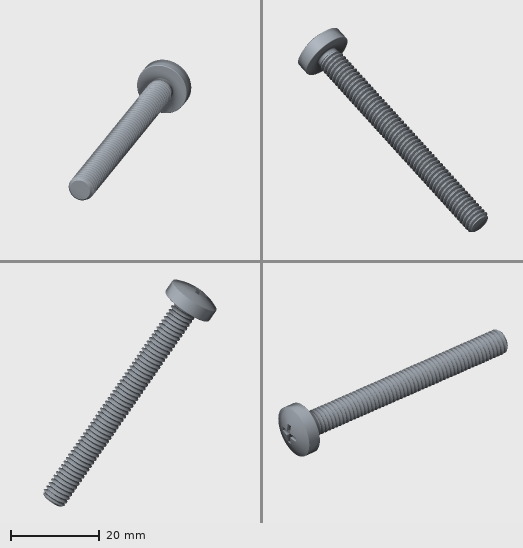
import cadquery as cq
import math


total_length = 59.55
head_height = 4.5
shank_length = total_length - head_height

head_radius = 12.0 / 2
dome_radius = 12.8
head_base_fillet = 0.2

recess_span = 5.1
recess_wing_width = 1.2
recess_depth = 2.4

neck_radius = 5.3 / 2
neck_length = 0.9
neck_fillet = 0.2

major_radius = 6.0 / 2
minor_radius = 4.75 / 2
pitches_per_shank = 55
thread_pitch = shank_length / pitches_per_shank
crest_width = thread_pitch / 8
flank_half_angle = math.radians(30)
ridge_overlap = 0.1
thread_runout = 0.7
envelope_clearance = 0.3
thread_top = -neck_length
tip = -shank_length


def make_head():
    corner_radius = recess_wing_width / math.sqrt(2)
    dome_center = head_height - math.sqrt(dome_radius**2 - corner_radius**2)
    apex = dome_center + dome_radius
    rim_height = dome_center + math.sqrt(dome_radius**2 - head_radius**2)
    mid_radius = head_radius / 2
    mid_height = dome_center + math.sqrt(dome_radius**2 - mid_radius**2)
    head = (
        cq.Workplane("XZ")
        .lineTo(head_radius, 0)
        .lineTo(head_radius, rim_height)
        .threePointArc((mid_radius, mid_height), (0, apex))
        .close()
        .revolve(360, (0, 0), (0, 1))
        .faces("<Z")
        .edges()
        .fillet(head_base_fillet)
    )
    recess_floor = head_height - recess_depth
    cut_height = apex - recess_floor
    for angle in (0, 90):
        wing = (
            cq.Workplane("XY", origin=(0, 0, recess_floor))
            .rect(recess_span, recess_wing_width)
            .extrude(cut_height)
            .rotate((0, 0, 0), (0, 0, 1), angle)
        )
        head = head.cut(wing)
    return head


def make_core():
    fillet_offset = neck_fillet * (1 - math.sqrt(0.5))
    return (
        cq.Workplane("XZ")
        .lineTo(neck_radius + neck_fillet, 0)
        .threePointArc(
            (neck_radius + fillet_offset, -fillet_offset),
            (neck_radius, -neck_fillet),
        )
        .lineTo(neck_radius, thread_top)
        .lineTo(minor_radius, thread_top)
        .lineTo(minor_radius, tip)
        .lineTo(0, tip)
        .close()
        .revolve(360, (0, 0), (0, 1))
    )


def make_thread():
    helix_start = tip - thread_pitch
    helix_height = thread_top - tip + 2 * thread_pitch
    helix = cq.Wire.makeHelix(
        thread_pitch, helix_height, minor_radius, center=cq.Vector(0, 0, helix_start)
    )
    inner_radius = minor_radius - ridge_overlap
    half_crest = crest_width / 2
    half_base = half_crest + (major_radius - inner_radius) * math.tan(flank_half_angle)
    ridge = (
        cq.Workplane("XZ", origin=(0, 0, helix_start))
        .moveTo(inner_radius, -half_base)
        .lineTo(major_radius, -half_crest)
        .lineTo(major_radius, half_crest)
        .lineTo(inner_radius, half_base)
        .close()
        .sweep(cq.Workplane(helix), isFrenet=True)
    )
    envelope_radius = major_radius + envelope_clearance
    runout_slope = (major_radius - neck_radius) / thread_runout
    envelope = (
        cq.Workplane("XZ")
        .moveTo(0, thread_top)
        .lineTo(neck_radius, thread_top)
        .lineTo(envelope_radius, thread_top - (envelope_radius - neck_radius) / runout_slope)
        .lineTo(envelope_radius, tip + (envelope_radius - minor_radius))
        .lineTo(minor_radius, tip)
        .lineTo(0, tip)
        .close()
        .revolve(360, (0, 0), (0, 1))
    )
    return ridge.intersect(envelope, clean=False)


screw = make_head().union(make_core()).union(make_thread(), clean=False)
result = screw.rotate((0, 0, 0), (1, 0, 0), -90)